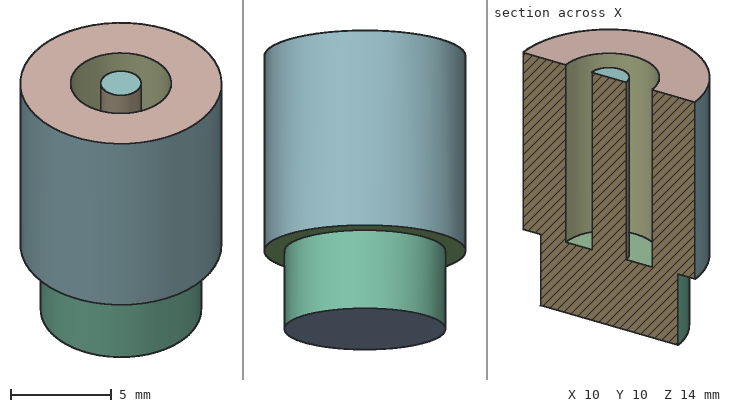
import cadquery as cq

total_height = 14.0
spigot_height = 4.0
body_diameter = 10.0
spigot_diameter = 8.0
bore_diameter = 5.0
pin_diameter = 2.0

body_height = total_height - spigot_height
bore_depth = body_height


def cylinder(diameter, height, base_z):
    """Upright cylinder on the Z axis, standing on base_z."""
    return cq.Workplane("XY").workplane(offset=base_z).circle(diameter / 2).extrude(height)


spigot = cylinder(spigot_diameter, spigot_height, 0)
body = cylinder(body_diameter, body_height, spigot_height)

bore_floor = total_height - bore_depth
bore = cylinder(bore_diameter, bore_depth, bore_floor)
pin = cylinder(pin_diameter, bore_depth, bore_floor)
recess = bore.cut(pin)

result = spigot.union(body).cut(recess)